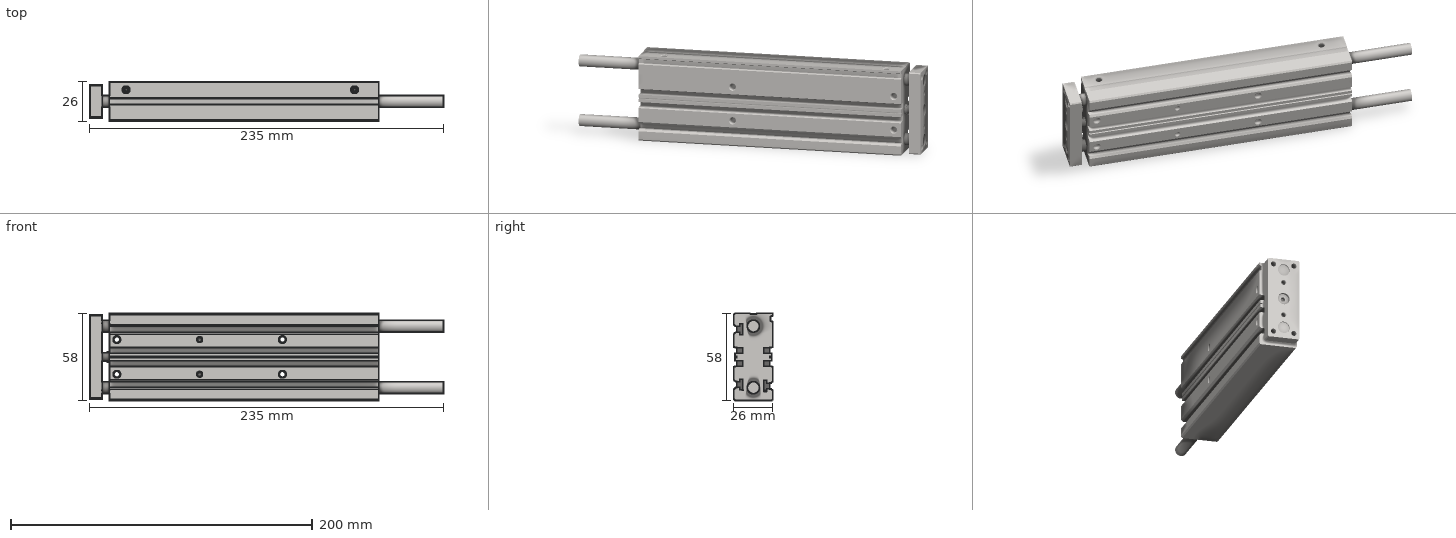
import cadquery as cq
import math

OVERALL_LENGTH = 235.0

PLATE_THICKNESS = 8.0
PLATE_WIDTH = 22.0
PLATE_HEIGHT = 56.0
PLATE_CHAMFER = 0.7
PLATE_SCREW_DIAMETER = 3.5
PLATE_SCREW_PITCH_Y = 14.0
PLATE_SCREW_PITCH_Z = 48.0
PLATE_DOWEL_DEPTH = 4.7

HOUSING_START = 13.0
HOUSING_LENGTH = 179.0
HOUSING_WIDTH = 26.0
HOUSING_HEIGHT = 58.0
HOUSING_CHAMFER = 1.0
HALF_WIDTH = HOUSING_WIDTH / 2
HALF_HEIGHT = HOUSING_HEIGHT / 2

FRONT_T_SLOT_OFFSET = 18.3
BACK_T_SLOT_OFFSET = 19.3
T_SLOT_NECK = 3.8
T_SLOT_MOUTH = 6.3
T_SLOT_HEAD = 7.3
T_SLOT_DEPTH = 6.0
T_SLOT_HEAD_DEPTH = 2.0

SENSOR_MOUTH = 13.2
SENSOR_SLOT = 12.2
SENSOR_MOUTH_DEPTH = 1.5
SENSOR_DEPTH = 6.0
RIB_WIDTH = 5.2
RIB_SETBACK = 0.7
RIB_GROOVE_WIDTH = 0.82
RIB_GROOVE_DEPTH = 1.5

EDGE_GROOVE_OFFSET = 25.4
EDGE_GROOVE_MOUTH = 4.0
EDGE_GROOVE_FLOOR = 2.8
EDGE_GROOVE_DEPTH = 1.6
TOP_GROOVE_MOUTH = 4.7
TOP_GROOVE_FLOOR = 3.8
TOP_GROOVE_DEPTH = 0.5

SIDE_HOLE_OFFSET = 11.5
BOLT_X = (17.9, 127.8)
BOLT_DIAMETER = 4.0
BOLT_MOUTH_DIAMETER = 5.0
DOWEL_X = 72.8
DOWEL_DIAMETER = 3.0
DOWEL_MOUTH_DIAMETER = 3.8
DOWEL_DEPTH = 5.6
PORT_X = (24.0, 175.8)
PORT_Y = 7.8
PORT_DIAMETER = 4.0
PORT_MOUTH_DIAMETER = 5.0
PORT_DEPTH = 4.7
PORT_BORE_DIAMETER = 2.0
PORT_BORE_DEPTH = 8.5
CONE_ANGLE = 118.0

COLLAR_DIAMETER = 6.8
COLLAR_LENGTH = 1.5

GUIDE_DIAMETER = 8.0
GUIDE_OFFSET = 20.5
PISTON_DIAMETER = 5.6
PISTON_INSERTION = 11.8
SPIGOT_DIAMETER = 5.6
SPIGOT_SHOULDER = 4.7
RECESS_DIAMETER = 8.0
GUIDE_RECESS_DEPTH = 1.0
PISTON_RECESS_DEPTH = 1.9
HEX_ACROSS_FLATS = 2.8
HEX_DEPTH = 2.4


def block(x_start, length, width, height):
    """Box centred on the X axis, starting at x_start."""
    return cq.Workplane("XY").box(length, width, height).translate((x_start + length / 2, 0, 0))


def cylinder_x(diameter, x_start, x_end, z=0.0):
    """Cylinder along X, centred at y = 0."""
    solid = cq.Solid.makeCylinder(diameter / 2, x_end - x_start, cq.Vector(x_start, 0, z), cq.Vector(1, 0, 0))
    return cq.Workplane(solid)


def countersink(mouth_diameter, diameter, mouth, direction):
    """45 degree cone that narrows from the mouth of a hole to its bore."""
    depth = (mouth_diameter - diameter) / 2
    start = cq.Vector(*mouth)
    cone = cq.Solid.makeCone(mouth_diameter / 2, diameter / 2, depth, start, cq.Vector(*direction))
    return cq.Workplane(cone)


def drilled_hole(diameter, mouth_diameter, depth, mouth, direction):
    """Blind drilled hole with a countersunk mouth and a conical bottom."""
    radius = diameter / 2
    cone_height = radius / math.tan(math.radians(CONE_ANGLE / 2))
    axis = cq.Vector(*direction)
    start = cq.Vector(*mouth)
    shank = cq.Solid.makeCylinder(radius, depth, start, axis)
    tip = cq.Solid.makeCone(radius, 0, cone_height, start + axis * depth, axis)
    hole = cq.Workplane(shank).union(cq.Workplane(tip))
    return hole.union(countersink(mouth_diameter, diameter, mouth, direction))


def dowel_hole(depth, mouth, direction):
    return drilled_hole(DOWEL_DIAMETER, DOWEL_MOUTH_DIAMETER, depth, mouth, direction)


def housing_prism(points):
    """Prism along the whole housing from a (y, z) outline."""
    return cq.Workplane("YZ").workplane(offset=HOUSING_START).polyline(points).close().extrude(HOUSING_LENGTH)


def slot_outline(half_widths, z_centre=0.0):
    """Closed outline of a slot in the +Y face from (depth, half width) pairs, mouth first."""
    upper = [(HALF_WIDTH - depth, z_centre + half) for depth, half in half_widths]
    lower = [(HALF_WIDTH - depth, z_centre - half) for depth, half in reversed(half_widths)]
    return upper + lower


def on_side(shape, side):
    """Shape for the +Y face as it is (side = 1), or mirrored to the -Y face (side = -1)."""
    return shape if side > 0 else shape.mirror("XZ")


def t_slot(z_centre):
    mouth_depth = (T_SLOT_MOUTH - T_SLOT_NECK) / 2
    head_start = T_SLOT_DEPTH - T_SLOT_HEAD_DEPTH
    return housing_prism(slot_outline([
        (0, T_SLOT_MOUTH / 2),
        (mouth_depth, T_SLOT_NECK / 2),
        (head_start, T_SLOT_NECK / 2),
        (head_start, T_SLOT_HEAD / 2),
        (T_SLOT_DEPTH, T_SLOT_HEAD / 2),
    ], z_centre))


def sensor_recess():
    recess = housing_prism(slot_outline([
        (0, SENSOR_MOUTH / 2),
        (SENSOR_MOUTH_DEPTH, SENSOR_SLOT / 2),
        (SENSOR_DEPTH, SENSOR_SLOT / 2),
    ]))
    rib = housing_prism(slot_outline([(RIB_SETBACK, RIB_WIDTH / 2), (SENSOR_DEPTH, RIB_WIDTH / 2)]))
    groove_bottom = RIB_SETBACK + RIB_GROOVE_DEPTH
    groove = housing_prism(slot_outline([
        (RIB_SETBACK, RIB_GROOVE_WIDTH / 2),
        (groove_bottom, RIB_GROOVE_WIDTH / 2),
    ]))
    return recess.cut(rib).union(groove)


def edge_groove():
    return housing_prism(slot_outline([
        (0, EDGE_GROOVE_MOUTH / 2),
        (EDGE_GROOVE_DEPTH, EDGE_GROOVE_FLOOR / 2),
    ], EDGE_GROOVE_OFFSET))


def top_groove():
    floor_z = HALF_HEIGHT - TOP_GROOVE_DEPTH
    return housing_prism([
        (-TOP_GROOVE_MOUTH / 2, HALF_HEIGHT),
        (-TOP_GROOVE_FLOOR / 2, floor_z),
        (TOP_GROOVE_FLOOR / 2, floor_z),
        (TOP_GROOVE_MOUTH / 2, HALF_HEIGHT),
    ])


def housing_section():
    """Extruded profile with all its lengthwise slots."""
    body = block(HOUSING_START, HOUSING_LENGTH, HOUSING_WIDTH, HOUSING_HEIGHT)
    body = body.edges("|X").edges("<Y or <Z").chamfer(HOUSING_CHAMFER)
    for side in (1, -1):
        body = body.cut(on_side(sensor_recess(), side))
    for z in (-FRONT_T_SLOT_OFFSET, FRONT_T_SLOT_OFFSET):
        body = body.cut(on_side(t_slot(z), -1))
    body = body.cut(on_side(t_slot(-BACK_T_SLOT_OFFSET), 1))
    return body.cut(edge_groove()).cut(top_groove())


def bolt_hole(x, z):
    """Hole through the housing along Y, countersunk at both faces."""
    mouth = (x, -HALF_WIDTH, z)
    inward = (0, 1, 0)
    bore = cq.Solid.makeCylinder(BOLT_DIAMETER / 2, HOUSING_WIDTH, cq.Vector(*mouth), cq.Vector(*inward))
    sink = countersink(BOLT_MOUTH_DIAMETER, BOLT_DIAMETER, mouth, inward)
    return cq.Workplane(bore).union(sink).union(sink.mirror("XZ"))


def port(x):
    """Tapped air port in the top face with a smaller bore below it."""
    mouth = (x, PORT_Y, HALF_HEIGHT)
    down = (0, 0, -1)
    bore = cq.Solid.makeCylinder(PORT_BORE_DIAMETER / 2, PORT_BORE_DEPTH, cq.Vector(*mouth), cq.Vector(*down))
    return drilled_hole(PORT_DIAMETER, PORT_MOUTH_DIAMETER, PORT_DEPTH, mouth, down).union(cq.Workplane(bore))


def half_collar():
    """Half ring on the +Y side of the piston rod, standing on the housing face."""
    collar = cylinder_x(COLLAR_DIAMETER, HOUSING_START - COLLAR_LENGTH, HOUSING_START)
    keep = block(0, HOUSING_START, COLLAR_DIAMETER, COLLAR_DIAMETER).translate((0, COLLAR_DIAMETER / 2, 0))
    return collar.intersect(keep)


def make_housing():
    body = housing_section().union(half_collar())
    for z in (-SIDE_HOLE_OFFSET, SIDE_HOLE_OFFSET):
        for x in BOLT_X:
            body = body.cut(bolt_hole(x, z))
        body = body.cut(dowel_hole(DOWEL_DEPTH, (DOWEL_X, -HALF_WIDTH, z), (0, 1, 0)))
    for x in PORT_X:
        body = body.cut(port(x))
    for z in (-GUIDE_OFFSET, GUIDE_OFFSET):
        body = body.cut(cylinder_x(GUIDE_DIAMETER, HOUSING_START, OVERALL_LENGTH, z))
    return body.cut(cylinder_x(PISTON_DIAMETER, 0, HOUSING_START + PISTON_INSERTION))


def make_guide_rod(z):
    """Guide rod with a thinner spigot at its plate end."""
    spigot = cylinder_x(SPIGOT_DIAMETER, GUIDE_RECESS_DEPTH, SPIGOT_SHOULDER, z)
    return spigot.union(cylinder_x(GUIDE_DIAMETER, SPIGOT_SHOULDER, OVERALL_LENGTH, z))


def make_piston_rod():
    """Straight rod with a hexagon socket in its plate end."""
    rod = cylinder_x(PISTON_DIAMETER, PISTON_RECESS_DEPTH, HOUSING_START + PISTON_INSERTION)
    across_corners = HEX_ACROSS_FLATS / math.cos(math.pi / 6)
    rod_end = cq.Workplane("YZ").workplane(offset=PISTON_RECESS_DEPTH)
    socket = rod_end.polygon(6, across_corners).extrude(HEX_DEPTH)
    return rod.cut(socket)


def make_plate():
    """End plate with screw and dowel holes and a recessed seat for every rod."""
    plate = block(0, PLATE_THICKNESS, PLATE_WIDTH, PLATE_HEIGHT).edges("|X").chamfer(PLATE_CHAMFER)
    face = plate.faces("<X").workplane(origin=(0, 0, 0))
    corners = face.rect(PLATE_SCREW_PITCH_Y, PLATE_SCREW_PITCH_Z, forConstruction=True).vertices()
    plate = corners.hole(PLATE_SCREW_DIAMETER)
    for z in (-SIDE_HOLE_OFFSET, SIDE_HOLE_OFFSET):
        plate = plate.cut(dowel_hole(PLATE_DOWEL_DEPTH, (0, 0, z), (1, 0, 0)))
    for z in (-GUIDE_OFFSET, GUIDE_OFFSET):
        plate = plate.cut(cylinder_x(RECESS_DIAMETER, 0, GUIDE_RECESS_DEPTH, z))
        plate = plate.cut(make_guide_rod(z))
    plate = plate.cut(cylinder_x(RECESS_DIAMETER, 0, PISTON_RECESS_DEPTH))
    return plate.cut(cylinder_x(PISTON_DIAMETER, 0, PLATE_THICKNESS))


housing = make_housing()
guide_rods = [make_guide_rod(z) for z in (-GUIDE_OFFSET, GUIDE_OFFSET)]
piston_rod = make_piston_rod()
plate = make_plate()

result = cq.Compound.makeCompound([
    housing.val(),
    plate.val(),
    piston_rod.val(),
    *[rod.val() for rod in guide_rods],
])